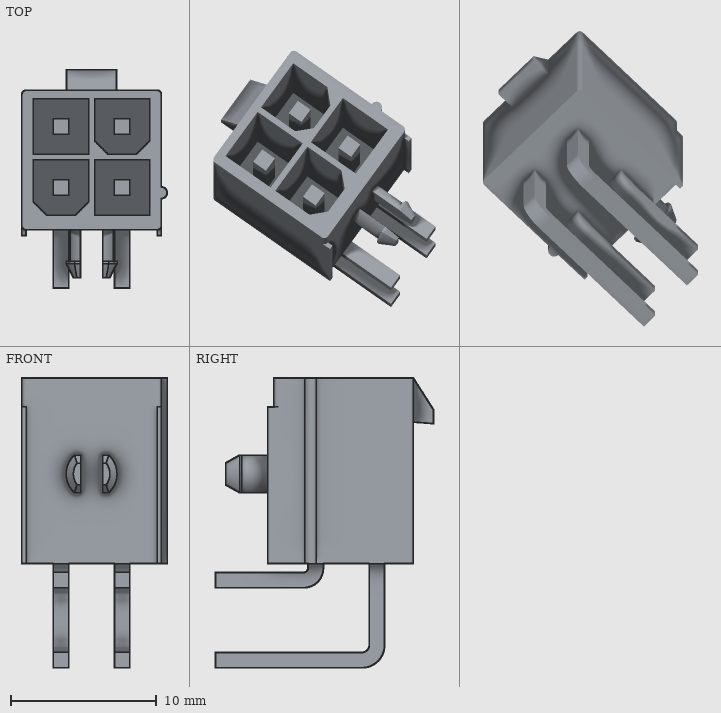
import cadquery as cq


body_width = 9.6
body_depth = 9.6
body_height = 12.77
corner_radius = 0.3
body_back = body_depth
side_face = body_width / 2

strip_width = 0.3
strip_depth = 0.4
strip_top_gap = 2.0
strip_height = body_height - strip_top_gap

pitch = 4.2
back_row_inset = 2.5
back_row_y = body_back - back_row_inset
front_row_y = back_row_y - pitch
column_xs = (-pitch / 2, pitch / 2)

cavity_size = 3.8
cavity_depth = 10.0
cavity_chamfer = 0.92

pin_size = 1.07
pin_tip_recess = 3.5
pin_tip_z = body_height - pin_tip_recess
row_drop = 5.5
tail_end_y = -4.0
front_tail_bottom_z = -1.66
back_tail_bottom_z = front_tail_bottom_z - row_drop
front_bend_radius = 0.3
back_bend_radius = 0.5

latch_width = 3.45
latch_depth = 1.4
latch_ramp_drop = 2.2
latch_tip_height = 0.95
latch_hook_drop = 0.1
latch_tip_top_z = body_height - latch_ramp_drop
latch_tip_bottom_z = latch_tip_top_z - latch_tip_height
latch_root_bottom_z = latch_tip_bottom_z + latch_hook_drop

rib_radius = 0.4
rib_inset = 7.05
rib_y = body_back - rib_inset

peg_drop = 6.6
peg_z = body_height - peg_drop
shank_radius = 1.5
shank_length = 2.17
head_radius = 1.75
head_rim_length = 0.15
tip_radius = 1.25
peg_length = 3.3
slot_width = 1.5
head_half_height = 1.3
tip_half_height = 0.75


def make_housing():
    """Rounded block with the two front strips."""
    housing = (
        cq.Workplane("XY")
        .box(body_width, body_depth, body_height, centered=(True, False, False))
        .edges("|Z")
        .fillet(corner_radius)
    )
    strip_run = strip_depth + corner_radius
    for side in (-1, 1):
        strip = cq.Workplane("XY").box(strip_width, strip_run, strip_height, centered=(True, False, False))
        strip_x = side * (side_face - strip_width / 2)
        housing = housing.union(strip.translate((strip_x, -strip_depth, 0)))
    return housing


def make_cavity(x, y, keyed):
    """Square pocket tool; a keyed one has its two front corners cut off."""
    cavity = cq.Workplane("XY").box(cavity_size, cavity_size, cavity_depth, centered=(True, True, False))
    if keyed:
        cavity = cavity.faces("<Y").edges("|Z").chamfer(cavity_chamfer)
    return cavity.translate((x, y, body_height - cavity_depth))


def make_pin(x, y, tail_bottom_z, bend_radius):
    """Square pin running down through the housing and bent forward at its foot."""
    half = pin_size / 2
    tail_top_z = tail_bottom_z + pin_size
    pin = (
        cq.Workplane("YZ")
        .moveTo(y - half, pin_tip_z)
        .lineTo(y + half, pin_tip_z)
        .lineTo(y + half, tail_top_z + bend_radius)
        .radiusArc((y - half - bend_radius, tail_bottom_z), bend_radius + pin_size)
        .lineTo(tail_end_y, tail_bottom_z)
        .lineTo(tail_end_y, tail_top_z)
        .lineTo(y - half - bend_radius, tail_top_z)
        .radiusArc((y - half, tail_top_z + bend_radius), -bend_radius)
        .close()
        .extrude(half, both=True)
    )
    return pin.translate((x, 0, 0))


def make_latch():
    """Ramp the mating plug snaps over, with a lower face that hooks down toward its tip."""
    tip_y = body_back + latch_depth
    return (
        cq.Workplane("YZ")
        .polyline([
            (body_back, body_height),
            (tip_y, latch_tip_top_z),
            (tip_y, latch_tip_bottom_z),
            (body_back, latch_root_bottom_z),
        ])
        .close()
        .extrude(latch_width / 2, both=True)
    )


def make_rib():
    """Full-height half-round rib."""
    return cq.Workplane("XY").center(side_face, rib_y).circle(rib_radius).extrude(body_height)


def make_peg():
    """Round shank with a barbed conical head, flattened top and bottom and split in two."""
    rim_end = shank_length + head_rim_length
    turned = (
        cq.Workplane("XY")
        .polyline([
            (0, 0),
            (shank_radius, 0),
            (shank_radius, -shank_length),
            (head_radius, -shank_length),
            (head_radius, -rim_end),
            (tip_radius, -peg_length),
            (0, -peg_length),
        ])
        .close()
        .revolve(360, (0, 0, 0), (0, 1, 0))
    )
    flats = (
        cq.Workplane("YZ")
        .polyline([
            (0, head_half_height),
            (-rim_end, head_half_height),
            (-peg_length, tip_half_height),
            (-peg_length, -tip_half_height),
            (-rim_end, -head_half_height),
            (0, -head_half_height),
        ])
        .close()
        .extrude(head_radius, both=True)
    )
    slot = cq.Workplane("XY").box(slot_width, 2 * peg_length, 2 * head_radius)
    return turned.intersect(flats).cut(slot).translate((0, 0, peg_z))


result = make_housing().union(make_latch()).union(make_rib()).union(make_peg())

left_x, right_x = column_xs
result = result.cut(make_cavity(left_x, back_row_y, keyed=False))
result = result.cut(make_cavity(right_x, back_row_y, keyed=True))
result = result.cut(make_cavity(left_x, front_row_y, keyed=True))
result = result.cut(make_cavity(right_x, front_row_y, keyed=False))

for column_x in column_xs:
    result = result.union(make_pin(column_x, front_row_y, front_tail_bottom_z, front_bend_radius))
    result = result.union(make_pin(column_x, back_row_y, back_tail_bottom_z, back_bend_radius))